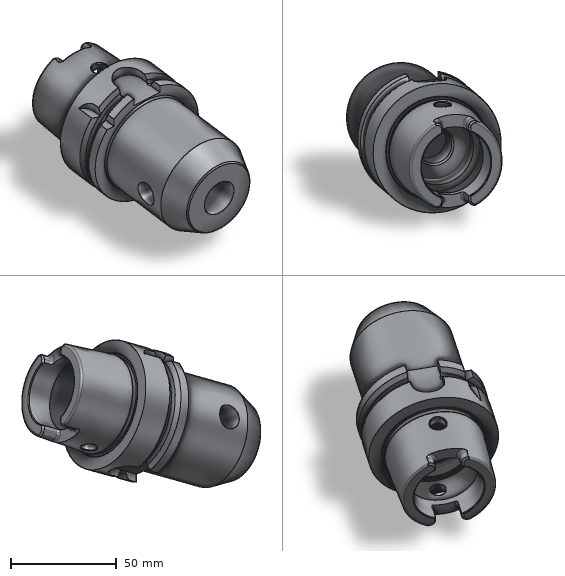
import cadquery as cq
import math

total_length = 112.0
shank_length = 32.0
taper_end_radius = 22.7
taper_slope = 0.05
taper_length = 29.8
mouth_rounding = 1.0

relief_radius = 23.7
relief_lead_in = 0.7
face_recess_depth = 0.5
face_recess_radius = 24.9
face_recess_rim_radius = 25.3

flange_radius = 31.5
flange_end = 58.0

groove_center = 50.0
groove_mouth_half_width = 3.4
groove_corner_half_width = 1.9
groove_corner_radius = 29.0
groove_bottom_half_width = 0.9
groove_bottom_radius = 27.4
groove_corner_mid_half_width = 1.6
groove_corner_mid_radius = 28.0

neck_radius = 25.8
neck_length = 0.9
body_radius = 25.0
nose_start = 99.0
nose_end_radius = 19.3
nose_chamfer = 0.7

cavity_radius = 17.0
cavity_depth = 35.8
cavity_floor_fillet = 1.3
cavity_mouth_chamfer = 0.5
undercut_start = 12.8
undercut_end = 29.1
undercut_radius = 20.2
coolant_hole_radius = 8.5
coolant_hole_chamfer = 0.9
coolant_hole_depth = 11.2

notch_half_width = 6.3
notch_flare_radius = 3.1
notch_flare_height = 17.6
notch_floor_fillet = 1.3
notch_mouth_chamfer = 0.9
top_notch_depth = 5.7
bottom_notch_depth = 9.6

slot_radius = 8.0
keyway_start = 36.7
keyway_floor = 26.4
corner_slot_start = 36.1
corner_slot_floor = 20.0

cutter_clearance = 11.2

clamp_hole_x = 22.8
clamp_hole_radius = 3.8
clamp_hole_chamfer = 0.5
screw_hole_x = 87.9
screw_hole_radius = 5.9
tool_bore_radius = 9.0
tool_bore_start = 65.0


def spin(profile):
    """Revolve a closed XY profile about the X axis."""
    return profile.close().revolve(360, (0, 0, 0), (1, 0, 0))


def outer_body():
    taper_big_radius = taper_end_radius + taper_slope * taper_length
    profile = (
        cq.Workplane("XY")
        .lineTo(0, taper_end_radius)
        .lineTo(taper_length, taper_big_radius)
        .lineTo(taper_length + relief_lead_in, relief_radius)
        .lineTo(shank_length + face_recess_depth, relief_radius)
        .lineTo(shank_length + face_recess_depth, face_recess_radius)
        .lineTo(shank_length, face_recess_rim_radius)
        .lineTo(shank_length, flange_radius)
        .lineTo(groove_center - groove_mouth_half_width, flange_radius)
        .lineTo(groove_center - groove_corner_half_width, groove_corner_radius)
        .threePointArc(
            (groove_center - groove_corner_mid_half_width, groove_corner_mid_radius),
            (groove_center - groove_bottom_half_width, groove_bottom_radius),
        )
        .lineTo(groove_center + groove_bottom_half_width, groove_bottom_radius)
        .threePointArc(
            (groove_center + groove_corner_mid_half_width, groove_corner_mid_radius),
            (groove_center + groove_corner_half_width, groove_corner_radius),
        )
        .lineTo(groove_center + groove_mouth_half_width, flange_radius)
        .lineTo(flange_end, flange_radius)
        .lineTo(flange_end, neck_radius)
        .lineTo(flange_end + neck_length, body_radius)
        .lineTo(nose_start, body_radius)
        .lineTo(total_length - nose_chamfer, nose_end_radius)
        .lineTo(total_length, nose_end_radius - nose_chamfer)
        .lineTo(total_length, 0)
    )
    return spin(profile).faces("<X").edges().fillet(mouth_rounding)


def shank_cavity():
    profile = (
        cq.Workplane("XY")
        .lineTo(0, cavity_radius + cavity_mouth_chamfer)
        .lineTo(cavity_mouth_chamfer, cavity_radius)
        .lineTo(undercut_start, cavity_radius)
        .lineTo(undercut_start, undercut_radius)
        .lineTo(undercut_end, undercut_radius)
        .lineTo(undercut_end, cavity_radius)
        .lineTo(cavity_depth, cavity_radius)
        .lineTo(cavity_depth, 0)
    )
    return spin(profile).faces(">X").edges().fillet(cavity_floor_fillet)


def coolant_hole():
    hole_end = cavity_depth + coolant_hole_depth
    profile = (
        cq.Workplane("XY")
        .moveTo(cavity_depth, 0)
        .lineTo(cavity_depth, coolant_hole_radius + coolant_hole_chamfer)
        .lineTo(cavity_depth + coolant_hole_chamfer, coolant_hole_radius)
        .lineTo(hole_end, coolant_hole_radius)
        .lineTo(hole_end, 0)
    )
    return spin(profile)


def tool_bore():
    bore_length = total_length - tool_bore_start
    return cq.Workplane("YZ", origin=(tool_bore_start, 0, 0)).circle(tool_bore_radius).extrude(bore_length)


def notch_profile():
    """Notch section in YZ: parallel walls that round outwards towards the taper surface."""
    inner_height = cavity_radius / 2
    flare_top = notch_flare_height + notch_flare_radius
    flare_center = notch_half_width + notch_flare_radius
    diagonal = notch_flare_radius * math.sqrt(0.5)
    mid_width = flare_center - diagonal
    mid_height = notch_flare_height + diagonal
    outer_height = taper_end_radius + cutter_clearance
    outer_width = flare_center + notch_flare_radius
    return (
        cq.Workplane("YZ")
        .moveTo(-notch_half_width, inner_height)
        .lineTo(notch_half_width, inner_height)
        .lineTo(notch_half_width, notch_flare_height)
        .threePointArc((mid_width, mid_height), (flare_center, flare_top))
        .lineTo(outer_width, flare_top)
        .lineTo(outer_width, outer_height)
        .lineTo(-outer_width, outer_height)
        .lineTo(-outer_width, flare_top)
        .lineTo(-flare_center, flare_top)
        .threePointArc((-mid_width, mid_height), (-notch_half_width, notch_flare_height))
        .close()
    )


def drive_notch(depth):
    """Notch on the +Z side, rounded along its floor and chamfered at the shank end."""
    notch = notch_profile().extrude(depth).faces(">X").edges().fillet(notch_floor_fillet)
    mouth = notch_profile().offset2D(notch_mouth_chamfer).extrude(notch_mouth_chamfer, taper=45)
    return notch.union(mouth)


def round_ended_slot(start, center_y, floor):
    """Slot with a vertical cutter: round at X = start, open past the flange, flat at Z = floor."""
    height = flange_radius + cutter_clearance - floor
    end_center = start + slot_radius
    straight_length = flange_end - end_center
    plane = cq.Workplane("XY", origin=(end_center, center_y, floor))
    round_end = plane.circle(slot_radius).extrude(height)
    straight_part = plane.center(straight_length / 2, 0).rect(straight_length, 2 * slot_radius)
    straight_part = straight_part.extrude(height)
    return round_end.union(straight_part)


def corner_slot():
    """Slot whose floor and inner wall form a right-angled notch in the -Y, +Z corner."""
    return round_ended_slot(corner_slot_start, -corner_slot_floor - slot_radius, corner_slot_floor)


def half_turn(cutter):
    return cutter.rotate((0, 0, 0), (1, 0, 0), 180)


def clamp_hole():
    """Hole right through the shank wall on both the +Z and the -Z side."""
    reach = taper_end_radius + cutter_clearance
    return cq.Workplane("XY", origin=(clamp_hole_x, 0, 0)).circle(clamp_hole_radius).extrude(reach, both=True)


def chamfer_clamp_hole_rims(part):
    """Chamfer the rims of the clamp hole on the taper surface, at +Z and at -Z."""
    half_size = clamp_hole_radius + clamp_hole_chamfer
    lowest = (undercut_radius + taper_end_radius) / 2
    highest = flange_radius
    for side in (1, -1):
        rim = cq.selectors.BoxSelector(
            (clamp_hole_x - half_size, -half_size, side * lowest),
            (clamp_hole_x + half_size, half_size, side * highest),
            boundingbox=True,
        )
        part = part.edges(rim).chamfer(clamp_hole_chamfer)
    return part


def screw_hole():
    """Clamping screw hole from the -Y side into the tool bore."""
    reach = body_radius + cutter_clearance
    return cq.Workplane("XZ", origin=(screw_hole_x, 0, 0)).circle(screw_hole_radius).extrude(reach)


keyway = round_ended_slot(keyway_start, 0, keyway_floor)
cutters = [
    shank_cavity(),
    coolant_hole(),
    tool_bore(),
    keyway,
    half_turn(keyway),
    corner_slot(),
    drive_notch(top_notch_depth),
    half_turn(drive_notch(bottom_notch_depth)),
    clamp_hole(),
    screw_hole(),
]

holder = outer_body()
for cutter in cutters:
    holder = holder.cut(cutter)

result = chamfer_clamp_hole_rims(holder)